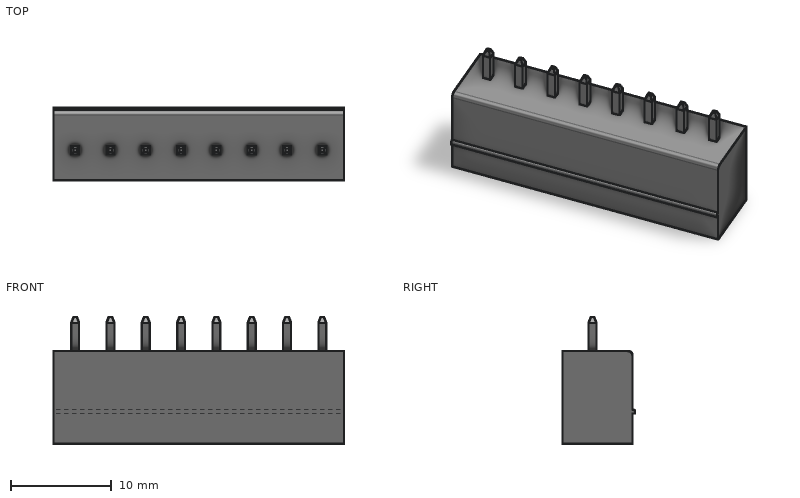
import cadquery as cq

length = 28.8
depth = 6.97
height = 9.22
edge_radius = 0.45

lip_reach = 0.25
lip_radius = 0.2
lip_height = 0.4
lip_bottom = 3.0

pin_count = 8
pin_pitch = 3.5
pin_width = 0.8
pin_length = 3.37
pin_y = 3.0
tip_height = 0.58
tip_width = 0.35


def make_housing():
    block = cq.Workplane("XY").box(length, depth, height, centered=(True, False, False))
    return block.edges(">Y and >Z").fillet(edge_radius)


def make_lip():
    lip_back = depth + lip_reach
    lip_top = lip_bottom + lip_height
    return (
        cq.Workplane("YZ", origin=(-length / 2, 0, 0))
        .moveTo(depth, lip_bottom)
        .lineTo(lip_back, lip_bottom)
        .lineTo(lip_back, lip_top - lip_radius)
        .radiusArc((lip_back - lip_radius, lip_top), -lip_radius)
        .lineTo(depth, lip_top)
        .close()
        .extrude(length)
    )


def make_pin():
    shank_length = pin_length - tip_height
    shank = cq.Workplane("XY").rect(pin_width, pin_width).extrude(shank_length)
    tip = (
        cq.Workplane("XY", origin=(0, 0, shank_length))
        .rect(pin_width, pin_width)
        .workplane(offset=tip_height)
        .rect(tip_width, tip_width)
        .loft(ruled=True)
    )
    return shank.union(tip)


result = make_housing().union(make_lip())
pin = make_pin()
first_pin_x = -pin_pitch * (pin_count - 1) / 2
for index in range(pin_count):
    pin_x = first_pin_x + index * pin_pitch
    result = result.union(pin.translate((pin_x, pin_y, height)))